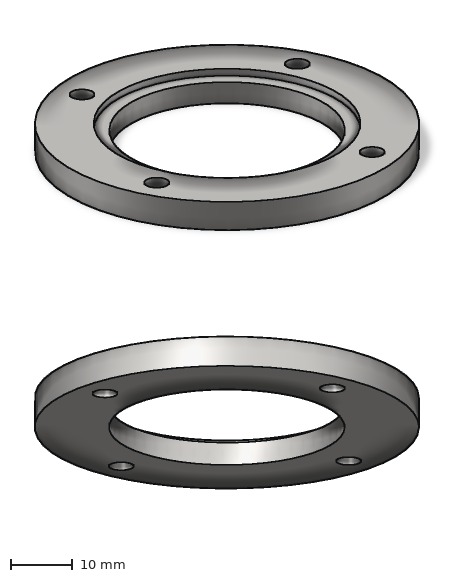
import cadquery as cq

outer_diameter = 62.0
thickness = 5.0
bore_diameter = 38.0

seat_diameter = 43.0
seat_depth = 1.25

hole_count = 4
hole_diameter = 4.0
hole_circle_diameter = 52.0

ring = (
    cq.Workplane("XY")
    .circle(outer_diameter / 2)
    .circle(bore_diameter / 2)
    .extrude(thickness)
)

seat = (
    cq.Workplane("XY")
    .workplane(offset=thickness - seat_depth)
    .circle(seat_diameter / 2)
    .extrude(seat_depth)
)

mounting_holes = (
    cq.Workplane("XY")
    .polarArray(hole_circle_diameter / 2, 0, 360, hole_count)
    .circle(hole_diameter / 2)
    .extrude(thickness)
)

result = ring.cut(seat).cut(mounting_holes)